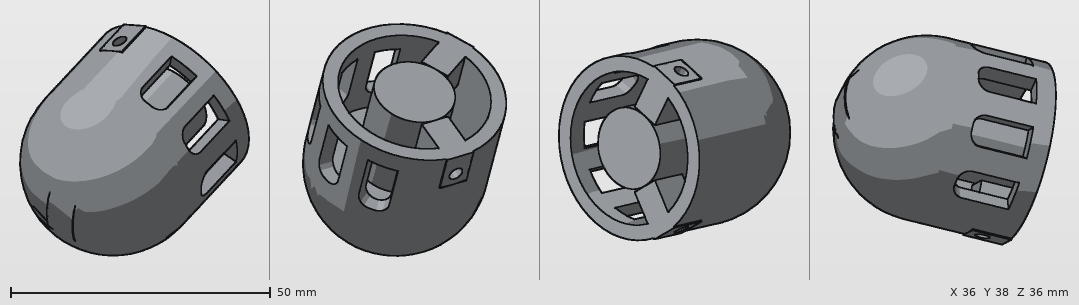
import cadquery as cq
import math

outer_radius = 18.0
tube_length = 20.0
wall = 3.0
bore_radius = outer_radius - wall

shaft_radius = 7.98

boss_width = 6.0
boss_length = 8.0
boss_angles = (-30, -150)
screw_diameter = 2.9
screw_end_distance = 5.0

window_angles = (18, 54, 90, 126, 162)
window_sector = 20
window_start = 4.0
window_length = 12.0
window_fillet = 2.5

key_width = boss_width
key_half_height = 5.2
key_end_fillet = 3.23

cut_margin = 0.38


def y_cylinder(radius, length):
    """A cylinder about the Y axis, from y = 0 towards +Y."""
    return cq.Workplane("XZ").circle(radius).extrude(-length)


def turned(body, angle):
    """Turn a body about the Y axis, from +Z towards +X."""
    return body.rotate((0, 0, 0), (0, 1, 0), angle)


def make_boss():
    """A block from the shaft out to a flat face tangent to the tube, on the +Z side."""
    return cq.Workplane("XY").box(
        boss_width, boss_length, outer_radius - shaft_radius, centered=(True, False, False)
    ).translate((0, tube_length - boss_length, shaft_radius))


def make_screw_hole():
    """A radial hole through one boss, on the +Z side."""
    return (
        cq.Workplane("XY", origin=(0, tube_length - screw_end_distance, 0))
        .circle(screw_diameter / 2)
        .extrude(outer_radius + cut_margin)
    )


def make_window():
    """An annular sector with radial sides and a rounded -Y end, on the +Z side."""
    inner_radius = bore_radius - cut_margin
    reach = outer_radius + cut_margin
    half_angle = math.radians(window_sector / 2)
    sine = math.sin(half_angle)
    cosine = math.cos(half_angle)
    return (
        cq.Workplane("XZ", origin=(0, window_start, 0))
        .moveTo(-inner_radius * sine, inner_radius * cosine)
        .lineTo(-reach * sine, reach * cosine)
        .threePointArc((0, reach), (reach * sine, reach * cosine))
        .lineTo(inner_radius * sine, inner_radius * cosine)
        .threePointArc((0, inner_radius), (-inner_radius * sine, inner_radius * cosine))
        .close()
        .extrude(-window_length)
        .faces("<Y").edges("%LINE").fillet(window_fillet)
    )


def make_key():
    """A bar whose front is a cylinder about X, tangent to the dome, with concave ends turned about Z."""
    front = cq.Workplane("YZ").circle(outer_radius).extrude(key_width / 2, both=True)
    nose_side = cq.Workplane("XY").box(
        key_width, outer_radius, 2 * key_half_height, centered=(True, False, True)
    ).translate((0, -outer_radius, 0))
    key = front.intersect(nose_side)

    touch_angle = math.asin(key_half_height / outer_radius)
    ring_radius = (outer_radius + key_end_fillet) * math.cos(touch_angle)
    ring_height = (outer_radius + key_end_fillet) * math.sin(touch_angle)
    for z in (-ring_height, ring_height):
        ring = cq.Solid.makeTorus(ring_radius, key_end_fillet, cq.Vector(0, 0, z))
        key = key.cut(cq.Workplane(ring))
    return key


def make_housing():
    tube = y_cylinder(outer_radius, tube_length).cut(y_cylinder(bore_radius, tube_length))
    dome = cq.Workplane("XY").sphere(outer_radius).intersect(
        cq.Workplane("XZ").circle(outer_radius + cut_margin).extrude(outer_radius + cut_margin)
    )
    housing = tube.union(dome).union(make_key())
    for angle in window_angles:
        housing = housing.cut(turned(make_window(), angle))
    for angle in boss_angles:
        housing = housing.union(turned(make_boss(), angle))
        housing = housing.cut(turned(make_screw_hole(), angle))
    return housing


def make_shaft():
    """A plain cylinder from the floor of the bore to the open end."""
    return y_cylinder(shaft_radius, tube_length)


housing = make_housing()
shaft = make_shaft()
result = cq.Compound.makeCompound([housing.solids().val(), shaft.val()])